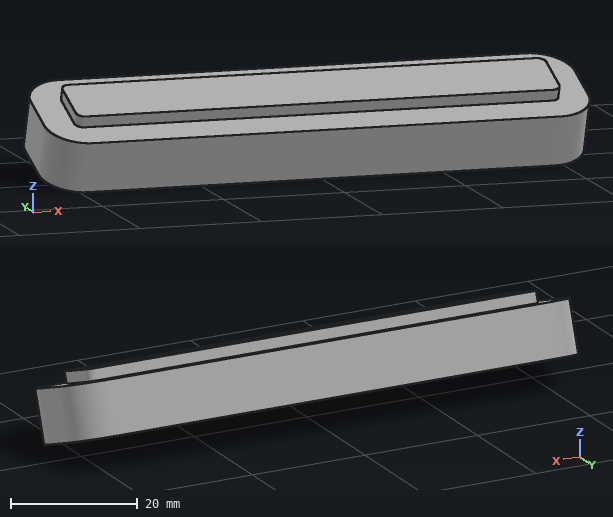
import cadquery as cq

base_length = 90.0
base_width = 20.0
base_height = 9.0
base_corner_radius = 6.3

pad_length = 80.0
pad_width = 10.0
pad_height = 2.0
pad_corner_radius = 1.35

tilt_angle = 20.0


def rounded_block(length, width, height, corner_radius, bottom):
    """Block with rounded upright edges, centred in X and Y, standing on height `bottom`."""
    return (
        cq.Workplane("XY")
        .workplane(offset=bottom)
        .rect(length, width)
        .extrude(height)
        .edges("|Z")
        .fillet(corner_radius)
    )


base = rounded_block(base_length, base_width, base_height, base_corner_radius, 0)
pad = rounded_block(pad_length, pad_width, pad_height, pad_corner_radius, base_height)

result = base.union(pad).rotate((0, 0, 0), (1, 0, 0), tilt_angle)